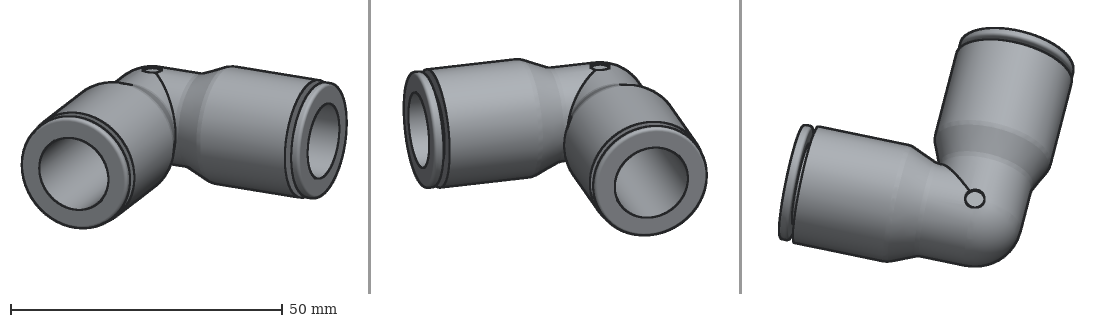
import cadquery as cq

overall_length = 45.75
body_diameter = 22.0
body_radius = body_diameter / 2
arm_length = overall_length - body_radius

tube_radius = 8.75
flare_start = 8.95
flare_end = 14.35
flare_blend = 2.3

body_end = 31.95
neck_radius = 7.6
collar_radius = 10.8
collar_thickness = 1.85
collar_start = arm_length - collar_thickness
collar_rounding = 0.6

bore_diameter = 14.05
bore_radius = bore_diameter / 2

pad_radius = 1.8
pad_height = 8.25


def make_arm():
    """Outside of one arm, running along +X from the elbow centre."""
    barrel = (
        cq.Workplane("XY")
        .lineTo(0, tube_radius)
        .lineTo(flare_start, tube_radius)
        .lineTo(flare_end, body_radius)
        .lineTo(body_end, body_radius)
        .lineTo(body_end, 0)
        .close()
        .revolve(360, (0, 0, 0), (1, 0, 0))
    )
    barrel = barrel.edges("%CIRCLE").edges("not (<X or >X)").fillet(flare_blend)
    neck = cq.Workplane("YZ").circle(neck_radius).extrude(arm_length)
    collar = (
        cq.Workplane("YZ", origin=(collar_start, 0, 0))
        .circle(collar_radius)
        .extrude(collar_thickness)
        .edges()
        .fillet(collar_rounding)
    )
    return barrel.union(neck).union(collar)


def mitre_pair(arm):
    """Trim an X arm at the mitre plane and turn it over into the -Y arm."""
    keep = (
        cq.Workplane("XY")
        .lineTo(overall_length, -overall_length)
        .lineTo(overall_length, overall_length)
        .lineTo(0, overall_length)
        .close()
        .extrude(overall_length, both=True)
    )
    half = arm.intersect(keep)
    other = half.rotate((0, 0, 0), (1, -1, 0), 180)
    return half.union(other)


outside = mitre_pair(make_arm()).union(cq.Workplane("XY").sphere(tube_radius))

bore = cq.Workplane("YZ").circle(bore_radius).extrude(arm_length)
passage = mitre_pair(bore).union(cq.Workplane("XY").sphere(bore_radius))

pad_cut = (
    cq.Workplane("XY", origin=(0, 0, pad_height))
    .circle(pad_radius)
    .extrude(tube_radius)
)

result = outside.cut(passage).cut(pad_cut)